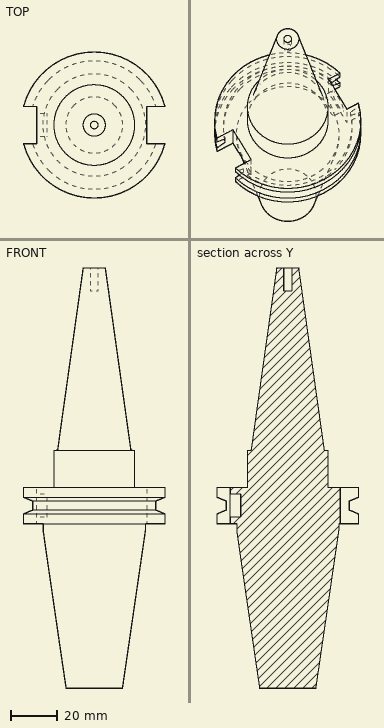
import cadquery as cq
import math

total_height = 182.5
gauge_height = 68.5
flange_bottom = 71.4
flange_thickness = 15.9
flange_top = flange_bottom + flange_thickness
flange_middle = flange_bottom + flange_thickness / 2
collar_height = 16.0
collar_top = flange_top + collar_height

shank_radius = 44.5 / 2
shank_taper = 7 / 24
shank_end_radius = shank_radius - gauge_height * shank_taper / 2

flange_radius = 63.5 / 2
groove_radius = 28.0
groove_floor_half = 3.8 / 2
groove_mouth_half = 7.1 / 2

collar_radius = 35.0 / 2
tip_radius = 9.7 / 2
nose_half_angle = 8
nose_fillet = 0.5
nose_length = total_height - collar_top
nose_base_radius = tip_radius + nose_length * math.tan(math.radians(nose_half_angle))

slot_width = 16.0
slot_floor_distances = {-1: 25.0, 1: 22.8}
side_hole_diameter = 9.9
side_hole_depth = 4.5
tip_hole_diameter = 3.3
tip_hole_depth = 10.0


def revolved_body():
    """Shank, grooved flange, collar and nose turned about the Z axis."""
    return (
        cq.Workplane("XZ")
        .lineTo(shank_end_radius, 0)
        .lineTo(shank_radius, gauge_height)
        .lineTo(shank_radius, flange_bottom)
        .lineTo(flange_radius, flange_bottom)
        .lineTo(flange_radius, flange_middle - groove_mouth_half)
        .lineTo(groove_radius, flange_middle - groove_floor_half)
        .lineTo(groove_radius, flange_middle + groove_floor_half)
        .lineTo(flange_radius, flange_middle + groove_mouth_half)
        .lineTo(flange_radius, flange_top)
        .lineTo(collar_radius, flange_top)
        .lineTo(collar_radius, collar_top)
        .lineTo(nose_base_radius, collar_top)
        .lineTo(tip_radius, total_height)
        .lineTo(0, total_height)
        .close()
        .revolve(360, (0, 0), (0, 1))
    )


def drive_slot(side):
    """Cutter for the flat-bottomed slot on the -X (-1) or +X (+1) side."""
    center_x = side * (slot_floor_distances[side] + flange_radius / 2)
    return cq.Workplane("XY").box(flange_radius, slot_width, flange_thickness).translate(
        (center_x, 0, flange_middle)
    )


def side_hole():
    """Cutter for the blind hole in the floor of the -X drive slot."""
    return (
        cq.Workplane("YZ", origin=(-slot_floor_distances[-1], 0, flange_middle))
        .circle(side_hole_diameter / 2)
        .extrude(side_hole_depth)
    )


def tip_hole():
    """Cutter for the blind axial hole in the nose tip."""
    return (
        cq.Workplane("XY", origin=(0, 0, total_height))
        .circle(tip_hole_diameter / 2)
        .extrude(-tip_hole_depth)
    )


def nose_base_edge(body):
    """Circular edge where the nose meets the top of the collar."""
    search_reach = (collar_radius + nose_base_radius) / 2
    edge_box = cq.selectors.BoxSelector(
        (-search_reach, -search_reach, collar_top - nose_fillet),
        (search_reach, search_reach, collar_top + nose_fillet),
        boundingbox=True,
    )
    return body.edges(edge_box)


result = nose_base_edge(revolved_body()).fillet(nose_fillet)
for slot_side in slot_floor_distances:
    result = result.cut(drive_slot(slot_side))
result = result.cut(side_hole()).cut(tip_hole())